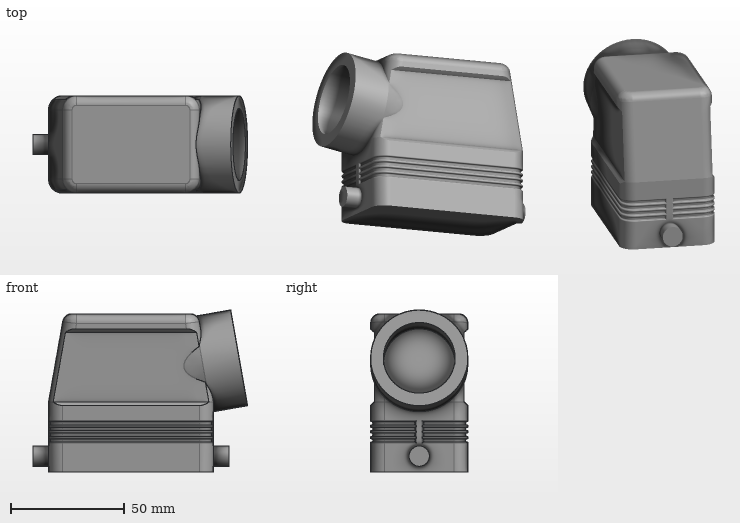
import cadquery as cq
import math

length = 95.0
width = 43.0
height = 71.7

body_length = 73.0
body_height = 70.0
shoulder_z = 31.1
lean_angle = 10.0
corner_radius = 6.2
top_radius = 4.3

recess_depth = 1.6
recess_top_z = 61.8

groove_count = 4
groove_width = 1.4
groove_depth = 0.95
mouth_rounding = 0.5
floor_rounding = 0.4
first_groove_z = 14.0
last_groove_z = 21.6
bridge_width = 2.5

peg_diameter = 9.0
peg_length = 6.9
peg_z = 7.0

entry_length = 16.3
bore_diameter = 31.7
root_length = 11.4
root_taper = 10.8

groove_pitch = (last_groove_z - first_groove_z) / (groove_count - 1)
lean = math.radians(lean_angle)
half_length = body_length / 2
half_width = width / 2
entry_radius = width / 2
tolerance = groove_depth / 10


def make_hood():
    """Block with leaning end walls, rounded corners and a rounded top."""
    top_half_length = half_length - (body_height - shoulder_z) * math.tan(lean)
    block = (
        cq.Workplane("XZ")
        .moveTo(-half_length, 0)
        .lineTo(half_length, 0)
        .lineTo(half_length, shoulder_z)
        .lineTo(top_half_length, body_height)
        .lineTo(-top_half_length, body_height)
        .lineTo(-half_length, shoulder_z)
        .close()
        .extrude(half_width, both=True)
    )
    rounded = block.edges("(not |X) and (not |Y)").fillet(corner_radius)
    return rounded.faces(">Z").edges().fillet(top_radius)


def make_side_recess(side):
    """Trapezoidal cutter running the full body length; side is -1 or +1."""
    floor_y = side * (half_width - recess_depth)
    wall_y = side * half_width
    return (
        cq.Workplane("YZ")
        .moveTo(floor_y, shoulder_z)
        .lineTo(floor_y, recess_top_z)
        .lineTo(wall_y, recess_top_z + recess_depth)
        .lineTo(wall_y, shoulder_z - recess_depth)
        .close()
        .extrude(half_length, both=True)
    )


def make_groove(z):
    """Ring cutter centred at height z, interrupted at the middle of both end walls."""
    ring = cq.Workplane().box(body_length, width, groove_width)
    core = (
        cq.Workplane()
        .box(body_length - 2 * groove_depth, width - 2 * groove_depth, groove_width)
        .edges("|Z")
        .fillet(corner_radius - groove_depth)
    )
    bridge = cq.Workplane().box(body_length, bridge_width + 2 * mouth_rounding, groove_width)
    return ring.cut(core).cut(bridge).translate((0, 0, z))


def depth_below_wall(point):
    """Distance of a point inward from the vertical outer wall, flat or corner."""
    corner_x = max(abs(point.x) - (half_length - corner_radius), 0)
    corner_y = max(abs(point.y) - (half_width - corner_radius), 0)
    return corner_radius - math.hypot(corner_x, corner_y)


def groove_edges_at(body, depth):
    """Edges of the grooves lying at one depth, without the smooth seams of the wall corners."""
    low_z = first_groove_z - groove_pitch
    high_z = last_groove_z + groove_pitch
    found = []
    for edge in body.edges().vals():
        center = edge.Center()
        ends = (edge.startPoint(), edge.endPoint())
        is_in_band = low_z < center.z < high_z
        is_at_depth = all(abs(depth_below_wall(end) - depth) < tolerance for end in ends)
        is_level = edge.BoundingBox().zlen < tolerance
        is_at_bridge = abs(center.y) < bridge_width
        if is_in_band and is_at_depth and (is_level or is_at_bridge):
            found.append(edge)
    return found


def round_grooves(body):
    """Round the mouths of the grooves, then the corners along their floors."""
    body = body.newObject(groove_edges_at(body, 0)).fillet(mouth_rounding)
    return body.newObject(groove_edges_at(body, groove_depth)).fillet(floor_rounding)


def make_peg(side):
    """Round peg on an end wall; side is -1 or +1."""
    return (
        cq.Workplane("YZ", origin=(side * half_length, 0, peg_z))
        .circle(peg_diameter / 2)
        .extrude(side * peg_length)
    )


rim_x = length - half_length - peg_length - entry_radius * math.sin(lean)
rim_z = height - entry_radius * math.cos(lean)
entry_plane = cq.Plane(
    origin=(rim_x, 0, rim_z),
    xDir=(0, 1, 0),
    normal=(math.cos(lean), 0, math.sin(lean)),
)

body = make_hood()
for side in (-1, 1):
    body = body.cut(make_side_recess(side))

for index in range(groove_count):
    body = body.cut(make_groove(first_groove_z + index * groove_pitch))
body = round_grooves(body)

for side in (-1, 1):
    body = body.union(make_peg(side))

entry_tube = cq.Workplane(entry_plane).circle(entry_radius).extrude(-entry_length)
entry_root = (
    cq.Workplane(entry_plane)
    .workplane(offset=-entry_length)
    .circle(entry_radius)
    .extrude(-root_length, taper=root_taper)
)
entry_bore = cq.Workplane(entry_plane).circle(bore_diameter / 2).extrude(-entry_length)

result = body.union(entry_tube.union(entry_root)).cut(entry_bore)